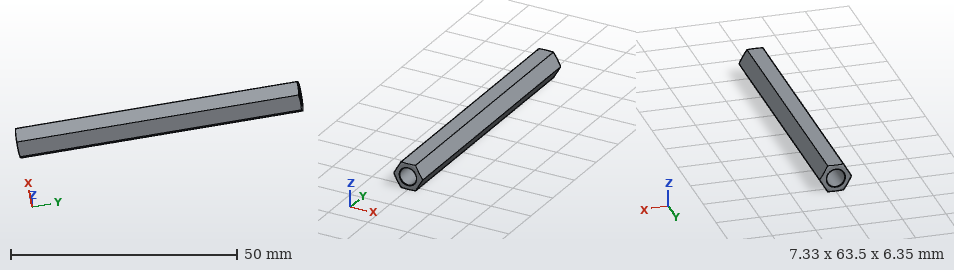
import cadquery as cq
import math

length = 63.5
across_flats = 6.35
across_corners = across_flats / math.cos(math.radians(30))

end_face_diameter = 6.0
chamfer_angle = 15.0

bore_diameter = 4.17
bore_depth = 12.7
mouth_diameter = 4.4

END_SIGNS = (-1, 1)


def make_hexagon_bar():
    return cq.Workplane("XZ").polygon(6, across_corners).extrude(length / 2, both=True)


def make_turned_envelope():
    """Round bar with coned ends; its surface only meets the hexagon near the corners."""
    end_radius = end_face_diameter / 2
    corner_radius = across_corners / 2
    chamfer_depth = (corner_radius - end_radius) * math.tan(math.radians(chamfer_angle))
    half_length = length / 2
    shoulder = half_length - chamfer_depth
    profile = (
        cq.Workplane("XY")
        .moveTo(0, -half_length)
        .lineTo(end_radius, -half_length)
        .lineTo(corner_radius, -shoulder)
        .lineTo(corner_radius, shoulder)
        .lineTo(end_radius, half_length)
        .lineTo(0, half_length)
        .close()
    )
    return profile.revolve(360, (0, 0, 0), (0, 1, 0))


def make_bore(end_sign):
    bore_radius = bore_diameter / 2
    mouth_radius = mouth_diameter / 2
    lead_in = mouth_radius - bore_radius
    mouth_center = cq.Vector(0, end_sign * length / 2, 0)
    inward = cq.Vector(0, -end_sign, 0)
    bore = cq.Solid.makeCylinder(bore_radius, bore_depth, mouth_center, inward)
    countersink = cq.Solid.makeCone(mouth_radius, bore_radius, lead_in, mouth_center, inward)
    return cq.Workplane(obj=bore).union(cq.Workplane(obj=countersink))


result = make_hexagon_bar().intersect(make_turned_envelope())
for end_sign in END_SIGNS:
    result = result.cut(make_bore(end_sign))